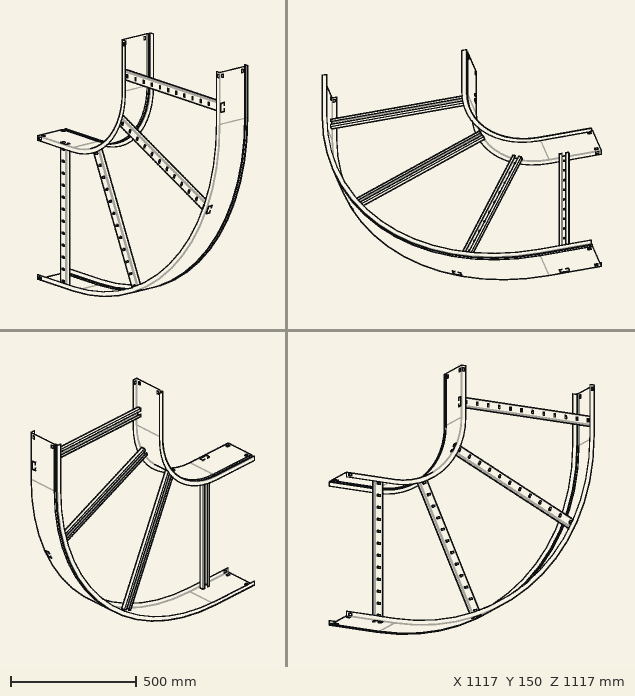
import cadquery as cq
quarter_turn = 90.0
overall = 1117.0
tray_width = 600.0
arm_length = 217.0
outer_radius = overall - arm_length
inner_radius = outer_radius - tray_width
rail_height = 150.0

sheet = 1.5
flange_width = 20.0
rail_bend_radius = 2.0
bead_start = 5.0
bead_width = 13.0
bead_depth = 5.0
bead_slope = 5.0

slot_length = 13.0
slot_width = 9.0
slot_from_end = 17.0
flange_slot_from_web = 9.0
web_slot_from_front = 17.0
web_slot_from_rear = 30.0

rung_width = 39.0
rung_depth = 19.0
rung_front = 7.0
rung_bend_radius = 3.9
rung_lip = 12.0
rung_from_end = 149.0
rung_turn = 24.8
rung_hole_count = 12
rung_hole_pitch = tray_width / rung_hole_count
rung_hole_width = 13.0
rung_hole_length = 7.0


def about_y(body, angle):
    return body.rotate((0, 0, 0), (0, 1, 0), angle)


def section_face(points):
    return cq.Face.makeFromWires(cq.Wire.makePolygon([cq.Vector(x, y, 0) for x, y in points], close=True))


def along_tray(section):
    """Carry a face in the XY plane (X is the radius) along both arms and the quarter turn."""
    upper_arm = cq.Workplane(cq.Solid.extrudeLinear(section, cq.Vector(0, 0, arm_length)))
    lower_arm = cq.Workplane(cq.Solid.extrudeLinear(section, cq.Vector(0, 0, -arm_length)))
    turn = cq.Solid.revolve(section, quarter_turn, cq.Vector(0, 0, 0), cq.Vector(0, 1, 0))
    return upper_arm.union(turn).union(about_y(lower_arm, quarter_turn))


def rail_section(web_radius, inward):
    """C section with a bead pressed into the tray near its rear flange.

    inward is +1 if the flanges point away from the turn's axis and -1 if they point to it.
    """
    bead_rear = rail_height - bead_start
    bead_front = bead_rear - bead_width
    outside = [
        (flange_width, 0),
        (0, 0),
        (0, bead_front),
        (bead_depth, bead_front + bead_slope),
        (bead_depth, bead_rear - bead_slope),
        (0, bead_rear),
        (0, rail_height),
        (flange_width, rail_height),
    ]
    inside = [
        (flange_width, rail_height - sheet),
        (sheet, rail_height - sheet),
        (sheet, bead_rear),
        (bead_depth + sheet, bead_rear - bead_slope),
        (bead_depth + sheet, bead_front + bead_slope),
        (sheet, bead_front),
        (sheet, sheet),
        (flange_width, sheet),
    ]
    points = [(web_radius + inward * depth, y) for depth, y in outside + inside]
    section = section_face(points)
    bends = {
        rail_bend_radius: [(0, 0), (0, rail_height)],
        rail_bend_radius - sheet: [(sheet, sheet), (sheet, rail_height - sheet)],
    }
    for radius, corners in bends.items():
        for depth, y in corners:
            corner = cq.Vector(web_radius + inward * depth, y, 0)
            nearest = min(section.Vertices(), key=lambda vertex: (vertex.Center() - corner).Length)
            section = section.fillet2D(radius, [nearest])
    return section


def end_slots(web_radius, inward):
    """Slot cutters for the end of the upper arm: two through the web, one through the front flange."""
    slot_z = arm_length - slot_from_end
    flange_slot_x = web_radius + inward * flange_slot_from_web
    cutters = cq.Workplane("XY").box(slot_width, 2 * sheet, slot_length).translate((flange_slot_x, 0, slot_z))
    for slot_y in (web_slot_from_front, rail_height - web_slot_from_rear):
        web_slot = cq.Workplane("XY").box(2 * sheet, slot_width, slot_length)
        cutters = cutters.add(web_slot.translate((web_radius, slot_y, slot_z)))
    return cutters.combine()


def make_rail(web_radius, inward, rungs):
    rail = along_tray(rail_section(web_radius, inward))
    slots = end_slots(web_radius, inward)
    rail = rail.cut(slots)
    rail = rail.cut(about_y(slots.mirror("XY"), quarter_turn))
    for rung in rungs:
        rail = rail.cut(rung)
    return rail


def rung_blank():
    """Perforated lipped channel along X, longer than the tray is wide, open toward +Y."""
    length = 2 * tray_width
    middle = (inner_radius + outer_radius) / 2
    rear = rung_front + rung_depth
    channel = (
        cq.Workplane("XY")
        .box(length, rung_depth, rung_width)
        .edges("|X and <Y")
        .fillet(rung_bend_radius)
    )
    hollow = (
        cq.Workplane("XY")
        .box(length, rung_depth - 2 * sheet, rung_width - 2 * sheet)
        .edges("|X and <Y")
        .fillet(rung_bend_radius - sheet)
    )
    mouth = cq.Workplane("XY").box(length, rung_depth, rung_width - 2 * rung_lip)
    mouth = mouth.translate((0, rung_depth / 2, 0))
    holes = (
        cq.Workplane("XZ")
        .rarray(rung_hole_pitch, 11, rung_hole_count, 1)
        .rect(rung_hole_length, rung_hole_width)
        .extrude(rung_depth)
    )
    channel = channel.cut(hollow).cut(mouth).cut(holes)
    return channel.translate((middle, rear - rung_depth / 2, 0))


def make_rungs():
    """Two rungs across the arms and two in the turn, their ends flush with the rails' outer faces."""
    envelope = along_tray(
        section_face(
            [
                (inner_radius, 0),
                (outer_radius, 0),
                (outer_radius, rail_height),
                (inner_radius, rail_height),
            ]
        )
    )
    blank = rung_blank()
    arm_offset = arm_length - rung_from_end
    placed = [
        blank.translate((0, 0, arm_offset)),
        about_y(blank, rung_turn),
        about_y(blank, quarter_turn - rung_turn),
        about_y(blank.translate((0, 0, -arm_offset)), quarter_turn),
    ]
    return [rung.intersect(envelope) for rung in placed]


rungs = make_rungs()
inner_rail = make_rail(inner_radius, 1, rungs)
outer_rail = make_rail(outer_radius, -1, rungs)

result = cq.Compound.makeCompound(
    [inner_rail.val(), outer_rail.val(), *[rung.val() for rung in rungs]]
)